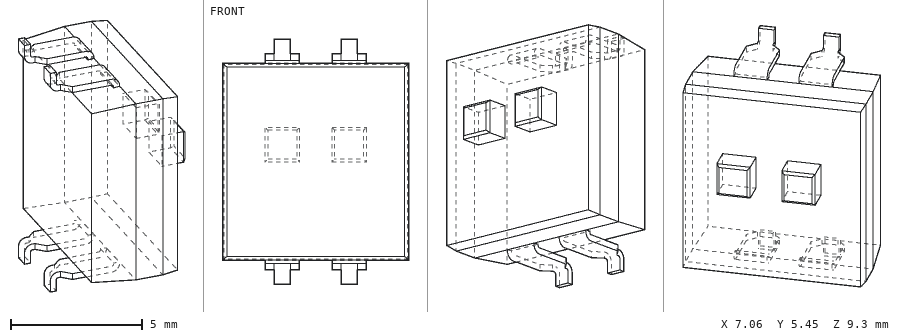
import cadquery as cq
import math


width = 7.06
height = 7.49
base_depth = 1.76
middle_depth = 1.11
cover_depth = 0.63
draft = 5

pitch = 2.54
knob_size = 1.3
knob_length = 0.995
knob_chamfer = 0.1
knob_center_z = knob_size / 2

lead_width = 1.3
foot_width = 0.61
lead_thickness = 0.25
inner_radius = 0.07
outer_radius = inner_radius + lead_thickness
lead_outer_z = 4.1
foot_tip_z = 4.65
foot_face_y = -2.71
neck_length = 0.43

column_x = [-pitch / 2, pitch / 2]
cover_face_y = middle_depth + cover_depth


def make_base():
    """Front layer, tapering from the seam toward -Y."""
    return cq.Workplane("XZ").rect(width, height).extrude(base_depth, taper=draft)


def make_middle():
    """Straight-sided layer between the base and the cover."""
    return cq.Workplane("ZX").rect(height, width).extrude(middle_depth)


def make_cover():
    """Back layer, tapering toward +Y."""
    plane = cq.Workplane("ZX", origin=(0, middle_depth, 0))
    return plane.rect(height, width).extrude(cover_depth, taper=draft)


def make_knob(x):
    """Square knob standing on the cover, with its end edges chamfered."""
    plane = cq.Workplane("ZX", origin=(x, cover_face_y, knob_center_z))
    knob = plane.rect(knob_size, knob_size).extrude(knob_length)
    return knob.faces(">Y").edges().chamfer(knob_chamfer)


def lead_strip():
    """Full-width bent strip of an upper lead, centred on x = 0."""
    leg_top_z = height / 2
    leg_end_z = leg_top_z - lead_thickness * math.tan(math.radians(draft))
    leg_bend_y = -outer_radius
    leg_bend_z = lead_outer_z - outer_radius
    lead_inner_z = lead_outer_z - lead_thickness
    foot_back_y = foot_face_y + lead_thickness
    foot_bend_y = foot_face_y + outer_radius
    foot_bend_z = lead_inner_z + outer_radius

    profile = (
        cq.Workplane("YZ", origin=(-lead_width / 2, 0, 0))
        .moveTo(0, leg_top_z)
        .lineTo(0, leg_bend_z)
        .tangentArcPoint((leg_bend_y, lead_outer_z), relative=False)
        .lineTo(foot_bend_y, lead_outer_z)
        .tangentArcPoint((foot_back_y, foot_bend_z), relative=False)
        .lineTo(foot_back_y, foot_tip_z)
        .lineTo(foot_face_y, foot_tip_z)
        .lineTo(foot_face_y, foot_bend_z)
        .tangentArcPoint((foot_bend_y, lead_inner_z), relative=False)
        .lineTo(leg_bend_y, lead_inner_z)
        .tangentArcPoint((-lead_thickness, leg_bend_z), relative=False)
        .lineTo(-lead_thickness, leg_end_z)
        .close()
    )
    return profile.extrude(lead_width)


def lead_outline():
    """Upright prism with the lead's plan shape: wide, then 45-degree shoulders, then narrow."""
    half_wide = lead_width / 2
    half_narrow = foot_width / 2
    neck_y = foot_face_y + neck_length
    shoulder_y = neck_y + (half_wide - half_narrow)
    right_side = [
        (half_wide, 0),
        (half_wide, shoulder_y),
        (half_narrow, neck_y),
        (half_narrow, foot_face_y),
    ]
    left_side = [(-x, y) for x, y in reversed(right_side)]
    return cq.Workplane("XY").polyline(right_side + left_side).close().extrude(foot_tip_z)


def make_lead(x, upper):
    """One lead at the given x; the lower leads mirror the upper ones."""
    lead = lead_strip().intersect(lead_outline())
    if not upper:
        lead = lead.mirror("XY")
    return lead.translate((x, 0, 0))


base = make_base()
middle = make_middle()
cover = make_cover()
knobs = [make_knob(x) for x in column_x]
leads = [make_lead(x, upper) for x in column_x for upper in (True, False)]

result = cq.Compound.makeCompound([
    base.val(),
    middle.val(),
    cover.val(),
    *[knob.val() for knob in knobs],
    *[lead.val() for lead in leads],
])